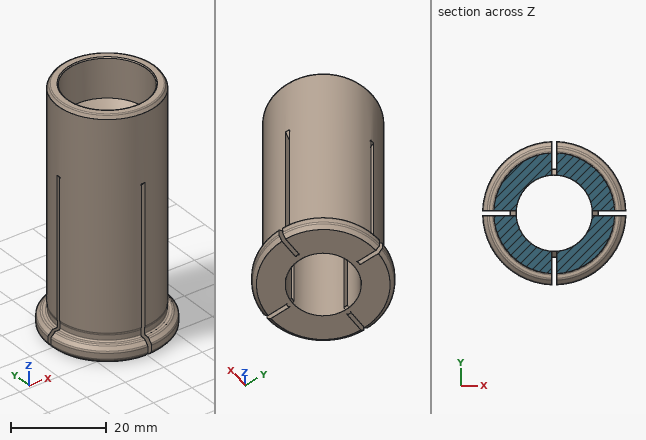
import cadquery as cq

height = 60.0
flange_radius = 30.0 / 2
body_radius = 25.4 / 2
bore_radius = 15.9 / 2
counterbore_radius = 20.5 / 2

flange_height = 4.1
flange_top_chamfer = 1.15
flange_bottom_chamfer = 1.0
flange_edge_round = 0.6

undercut_depth = 0.1
undercut_top = 6.25
undercut_ramp = 0.55
undercut_round = 0.35

lead_in_height = 0.95
lead_in_width = 0.55
rim_round = 0.35

counterbore_depth = 10.1
mouth_chamfer = 0.25

slot_count = 4
slot_width = 0.95
slot_top = 41.75
slot_floor_at_bore = 1.25
slot_overlap = 0.6


def ring_at(z, radius):
    """Selector for the circular edge with its centre at z and the given radius."""
    margin = 0.005
    return cq.selectors.BoxSelector(
        (-radius - margin, -radius - margin, z - margin),
        (radius + margin, radius + margin, z + margin),
        boundingbox=True,
    ) - cq.selectors.BoxSelector(
        (-radius + margin, -radius + margin, z - margin),
        (radius - margin, radius - margin, z + margin),
        boundingbox=True,
    )


def make_outside():
    """Solid sleeve and flange, with the undercut, lead-in and rounded edges."""
    undercut_radius = body_radius - undercut_depth
    flange_top_radius = flange_radius - flange_top_chamfer
    rim_radius = body_radius - lead_in_width
    chamfer_base = flange_height - flange_top_chamfer
    outside = (
        cq.Workplane("XZ")
        .moveTo(0, 0)
        .lineTo(flange_radius - flange_bottom_chamfer, 0)
        .lineTo(flange_radius, flange_bottom_chamfer)
        .lineTo(flange_radius, chamfer_base)
        .lineTo(flange_top_radius, flange_height)
        .lineTo(undercut_radius, flange_height)
        .lineTo(undercut_radius, undercut_top - undercut_ramp)
        .lineTo(body_radius, undercut_top)
        .lineTo(body_radius, height - lead_in_height)
        .lineTo(rim_radius, height)
        .lineTo(0, height)
        .close()
        .revolve(360, (0, 0, 0), (0, 1, 0))
    )
    for z, radius in (
        (flange_bottom_chamfer, flange_radius),
        (chamfer_base, flange_radius),
        (flange_height, flange_top_radius),
    ):
        outside = outside.edges(ring_at(z, radius)).fillet(flange_edge_round)
    outside = outside.edges(ring_at(flange_height, undercut_radius)).fillet(undercut_round)
    return outside.edges(ring_at(height, rim_radius)).fillet(rim_round)


def make_bore():
    """Through bore, conical step, counterbore and chamfered mouth."""
    cone_top = height - counterbore_depth
    cone_bottom = cone_top - (counterbore_radius - bore_radius)
    return (
        cq.Workplane("XZ")
        .moveTo(0, 0)
        .lineTo(bore_radius, 0)
        .lineTo(bore_radius, cone_bottom)
        .lineTo(counterbore_radius, cone_top)
        .lineTo(counterbore_radius, height - mouth_chamfer)
        .lineTo(counterbore_radius + mouth_chamfer, height)
        .lineTo(0, height)
        .close()
        .revolve(360, (0, 0, 0), (0, 1, 0))
    )


def make_slot():
    """Slot cutter on the +X side; it narrows in height toward the bore."""
    inner = bore_radius - slot_overlap
    outer = flange_radius + slot_overlap
    return (
        cq.Workplane("XZ")
        .moveTo(inner, slot_floor_at_bore + slot_overlap)
        .lineTo(outer, slot_floor_at_bore - (outer - bore_radius))
        .lineTo(outer, slot_top + outer - body_radius)
        .lineTo(inner, slot_top - (body_radius - inner))
        .close()
        .extrude(slot_width / 2, both=True)
    )


result = make_outside().cut(make_bore())
for index in range(slot_count):
    angle = index * 360 / slot_count
    result = result.cut(make_slot().rotate((0, 0, 0), (0, 0, 1), angle))